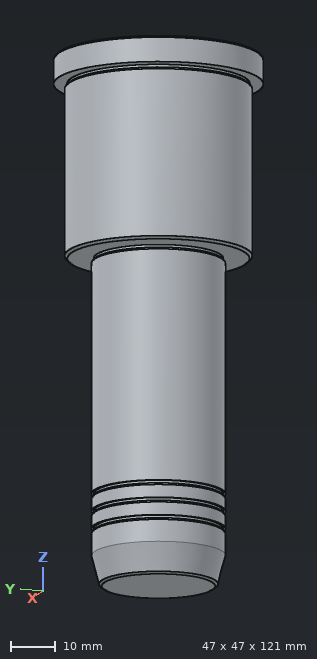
import cadquery as cq

total_length = 121.0
flange_radius = 47.0 / 2
body_radius = 42.0 / 2
shank_radius = 30.0 / 2
tip_radius = 13.2

flange_thickness = 6.0
body_length = 39.9
taper_height = 7.0
flange_bottom = total_length - flange_thickness
body_bottom = flange_bottom - body_length

flange_chamfer = 0.5
body_chamfer = 0.6
tip_chamfer = 0.5
groove_width = 1.1
groove_depth = 0.5

groove_count = 3
groove_pitch = 4.0
first_groove_top = 21.0


def cylinder(radius, bottom, top):
    """Solid cylinder on the Z axis between two heights."""
    return cq.Workplane("XY").workplane(offset=bottom).circle(radius).extrude(top - bottom)


def revolve_profile(points):
    """Turn a closed (radius, height) outline about the Z axis."""
    return cq.Workplane("XZ").polyline(points).close().revolve(360, (0, 0, 0), (0, 1, 0))


def ring_groove(radius, top):
    """Ring groove with a flat upper wall and a sloping lower wall."""
    floor_radius = radius - groove_depth
    bottom = top - groove_width
    return revolve_profile([
        (radius, top),
        (floor_radius, top),
        (floor_radius, bottom + groove_depth),
        (radius, bottom),
    ])


flange = cylinder(flange_radius, flange_bottom, total_length).faces(">Z").chamfer(flange_chamfer)
body = cylinder(body_radius, body_bottom, flange_bottom).faces("<Z").chamfer(body_chamfer)
shank = cylinder(shank_radius, taper_height, body_bottom)

tip = revolve_profile([
    (0, 0),
    (tip_radius, 0),
    (shank_radius, taper_height),
    (0, taper_height),
]).faces("<Z").chamfer(tip_chamfer)

result = flange.union(body).union(shank).union(tip)

result = result.cut(ring_groove(body_radius, flange_bottom))
result = result.cut(ring_groove(shank_radius, body_bottom))

for index in range(groove_count):
    result = result.cut(ring_groove(shank_radius, first_groove_top - index * groove_pitch))